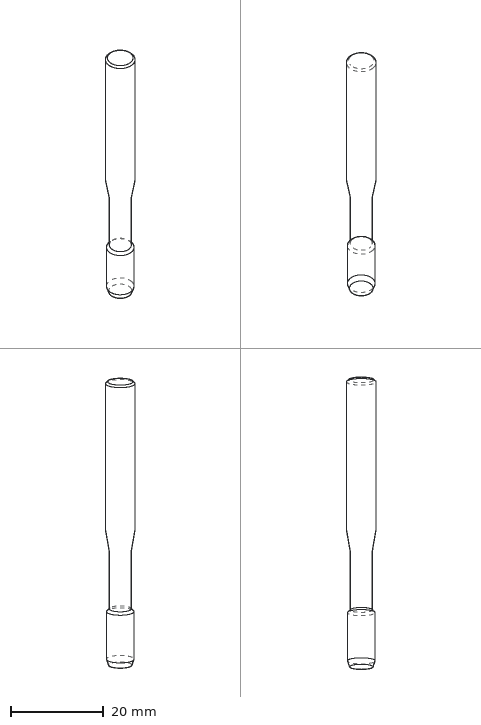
import cadquery as cq

TOTAL_LENGTH = 63.5
SHANK_RADIUS = 6.4 / 2

HEAD_LENGTH = 12.0
HEAD_RADIUS = 6.0 / 2
TIP_RADIUS = 2.55
TIP_CHAMFER_HEIGHT = 1.35

NECK_RADIUS = 4.75 / 2
SHOULDER_HEIGHT = HEAD_RADIUS - NECK_RADIUS
TAPER_LENGTH = 4.9

SHANK_LENGTH = 33.2
SHANK_CHAMFER = 0.45

BOTTOM_Z = -TOTAL_LENGTH / 2
TOP_Z = TOTAL_LENGTH / 2
HEAD_TOP_Z = BOTTOM_Z + HEAD_LENGTH
SHANK_BOTTOM_Z = TOP_Z - SHANK_LENGTH


def revolve_profile(outer_points, bottom_z, top_z):
    """Turn an outer (radius, z) outline, closed along the Z axis, into a solid."""
    outline = [(0, bottom_z), *outer_points, (0, top_z)]
    return cq.Workplane("XZ").polyline(outline).close().revolve(360, (0, 0), (0, 1))


def make_head():
    """Cylindrical cutting head with a steep chamfer at its tip."""
    outer_points = [
        (TIP_RADIUS, BOTTOM_Z),
        (HEAD_RADIUS, BOTTOM_Z + TIP_CHAMFER_HEIGHT),
        (HEAD_RADIUS, HEAD_TOP_Z),
    ]
    return revolve_profile(outer_points, BOTTOM_Z, HEAD_TOP_Z)


def make_shank():
    """Shoulder, neck, taper and chamfered shank, standing on the head."""
    outer_points = [
        (HEAD_RADIUS, HEAD_TOP_Z),
        (NECK_RADIUS, HEAD_TOP_Z + SHOULDER_HEIGHT),
        (NECK_RADIUS, SHANK_BOTTOM_Z - TAPER_LENGTH),
        (SHANK_RADIUS, SHANK_BOTTOM_Z),
        (SHANK_RADIUS, TOP_Z - SHANK_CHAMFER),
        (SHANK_RADIUS - SHANK_CHAMFER, TOP_Z),
    ]
    return revolve_profile(outer_points, HEAD_TOP_Z, TOP_Z)


head = make_head()
shank = make_shank()

result = cq.Compound.makeCompound([head.val(), shank.val()])